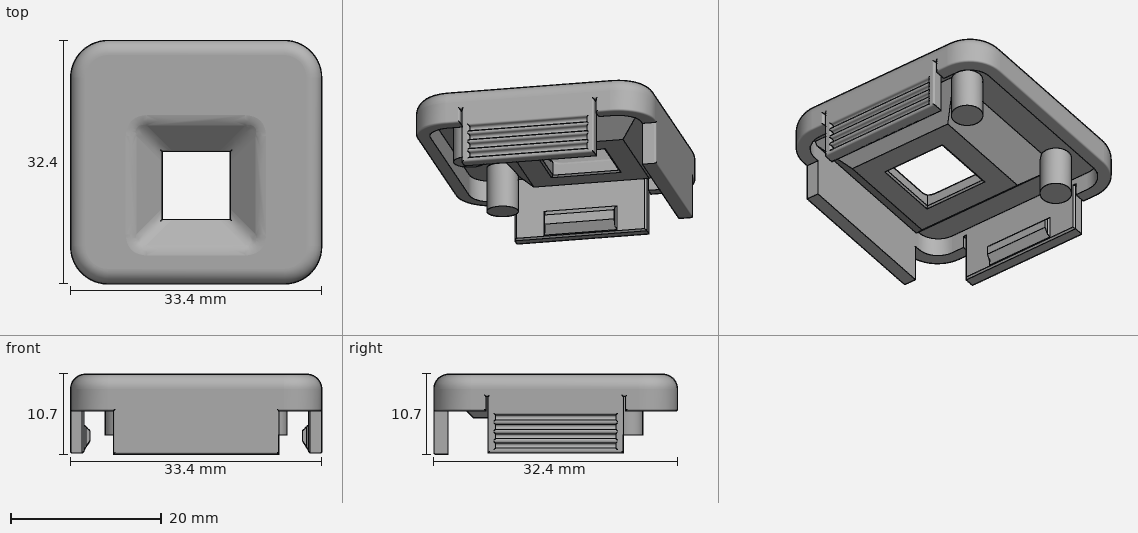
import cadquery as cq
import math

LENGTH_X = 33.4
WIDTH_Y = 32.4
CAP_DEPTH = 4.9
CORNER_RADIUS = 5.0
TOP_FILLET = 2.0
TOP_THICKNESS = 2.0
WALL = 1.8
EDGE_FILLET = 0.25
INNER_CHAMFER = 0.25

FRONT_FLAP_WIDTH = 22.0
FRONT_FLAP_THICKNESS = 1.9
FRONT_FLAP_BOTTOM = -10.65
SIDE_FLAP_WIDTH = 18.0
SIDE_FLAP_BOTTOM = -10.5
SLOT_WIDTH = 0.25
SLOT_TOP = -3.0

HOOK_LENGTH = 10.0
HOOK_REACH = 0.8
HOOK_TOP = -6.75
HOOK_NOSE_BOTTOM = -8.85
HOOK_BOTTOM = -10.1
HOOK_END_BEVEL = 0.25

GROOVE_COUNT = 4
GROOVE_PITCH = 1.25
GROOVE_LENGTH = 16.0
GROOVE_WIDTH = 0.65
GROOVE_RIM_FILLET = 0.25
GROOVE_WALL_DEPTH = 0.3
FIRST_GROOVE_Z = -5.75

FUNNEL_Y = -3.1
FUNNEL_TOP_WIDTH = 17.0
FUNNEL_FILLET = 2.0
FUNNEL_BOTTOM = -5.8
FUNNEL_BLOCK_WIDTH = 15.7
APERTURE_WIDTH = 9.0
APERTURE_FILLET = 0.4
APERTURE_CHAMFER = 0.25

POST_X = 10.0
POST_Y = 9.5
POST_RADIUS = 2.1
POST_BOTTOM = -8.1

SELECTION_MARGIN = 0.1
POSITION_TOLERANCE = 1e-4

HALF_X = LENGTH_X / 2
HALF_Y = WIDTH_Y / 2
FLAP_INNER_X = HALF_X - WALL


def box_between(x_range, y_range, z_range):
    """Axis-aligned box given by its limits on each axis."""
    sizes = [high - low for low, high in (x_range, y_range, z_range)]
    corner = (x_range[0], y_range[0], z_range[0])
    return cq.Workplane("XY").box(*sizes, centered=False).translate(corner)


def square_frustum(bottom_width, bottom_z, top_width, top_z):
    """Square frustum centred on the funnel axis."""
    return (
        cq.Workplane("XY", origin=(0, FUNNEL_Y, bottom_z))
        .rect(bottom_width, bottom_width)
        .workplane(offset=top_z - bottom_z)
        .rect(top_width, top_width)
        .loft(ruled=True)
    )


def both_sides(body):
    """A body on one side together with its mirror image."""
    return body.union(body.mirror("YZ"))


def side_slots():
    """Narrow slots through the left wall that free the flap on either side."""
    slots = cq.Workplane("XY")
    inner = SIDE_FLAP_WIDTH / 2
    outer = inner + SLOT_WIDTH
    for y_range in ((inner, outer), (-outer, -inner)):
        slots = slots.union(box_between((-HALF_X, -FLAP_INNER_X), y_range, (-CAP_DEPTH, SLOT_TOP)))
    return slots


def shell():
    """Open-bottomed cap with its three flaps, rounded along the free edges."""
    cap = (
        cq.Workplane("XY")
        .rect(LENGTH_X, WIDTH_Y)
        .extrude(-CAP_DEPTH)
        .edges("|Z")
        .fillet(CORNER_RADIUS)
    )
    cavity_y = (-HALF_Y + FRONT_FLAP_THICKNESS, HALF_Y - WALL)
    cavity = (
        box_between((-FLAP_INNER_X, FLAP_INNER_X), cavity_y, (-CAP_DEPTH, -TOP_THICKNESS))
        .edges("|Z")
        .fillet(CORNER_RADIUS - WALL)
    )
    front_flap = box_between(
        (-FRONT_FLAP_WIDTH / 2, FRONT_FLAP_WIDTH / 2),
        (-HALF_Y, -HALF_Y + FRONT_FLAP_THICKNESS),
        (FRONT_FLAP_BOTTOM, -TOP_THICKNESS),
    )
    side_flap = box_between(
        (-HALF_X, -FLAP_INNER_X),
        (-SIDE_FLAP_WIDTH / 2, SIDE_FLAP_WIDTH / 2),
        (SIDE_FLAP_BOTTOM, -TOP_THICKNESS),
    )
    body = cap.cut(cavity).union(front_flap).union(both_sides(side_flap)).cut(both_sides(side_slots()))

    free_edges = body.faces("<X or >X or <Y or >Y").edges().filter(
        lambda edge: edge.Center().z < -CAP_DEPTH / 2 - EDGE_FILLET
    )
    body = free_edges.fillet(EDGE_FILLET)

    inner_flap_edges = body.edges("|Z or |Y").filter(
        lambda edge: math.isclose(abs(edge.Center().x), FLAP_INNER_X, abs_tol=POSITION_TOLERANCE)
        and edge.Center().z < -CAP_DEPTH
    )
    body = inner_flap_edges.chamfer(INNER_CHAMFER)
    return body.faces(">Z").edges().fillet(TOP_FILLET)


def snap_hook():
    """Left-hand hook with a 45 degree upper side and bevelled ends."""
    nose_x = -FLAP_INNER_X + HOOK_REACH
    root_x = -FLAP_INNER_X - WALL / 2
    profile = [
        (root_x, HOOK_TOP),
        (-FLAP_INNER_X, HOOK_TOP),
        (nose_x, HOOK_TOP - HOOK_REACH),
        (nose_x, HOOK_NOSE_BOTTOM),
        (-FLAP_INNER_X, HOOK_BOTTOM),
        (root_x, HOOK_BOTTOM),
    ]
    hook = cq.Workplane("XZ").polyline(profile).close().extrude(HOOK_LENGTH / 2, both=True)

    bevel_x = -FLAP_INNER_X + HOOK_END_BEVEL
    end = HOOK_LENGTH / 2
    plan = [
        (root_x, -end),
        (-FLAP_INNER_X, -end),
        (bevel_x, -end + HOOK_END_BEVEL),
        (nose_x, -end + HOOK_END_BEVEL),
        (nose_x, end - HOOK_END_BEVEL),
        (bevel_x, end - HOOK_END_BEVEL),
        (-FLAP_INNER_X, end),
        (root_x, end),
    ]
    envelope = cq.Workplane("XY").polyline(plan).close().extrude(SIDE_FLAP_BOTTOM)
    return hook.intersect(envelope)


def cut_grip_grooves(body):
    """Cut round-bottomed grooves with rounded rims across both side flaps."""
    radius = GROOVE_WIDTH / 2
    floor_x = -HALF_X + GROOVE_WALL_DEPTH
    for index in range(GROOVE_COUNT):
        middle_z = FIRST_GROOVE_Z - index * GROOVE_PITCH
        groove = (
            cq.Workplane("XZ")
            .moveTo(-HALF_X, middle_z + radius)
            .lineTo(floor_x, middle_z + radius)
            .threePointArc((floor_x + radius, middle_z), (floor_x, middle_z - radius))
            .lineTo(-HALF_X, middle_z - radius)
            .close()
            .extrude(GROOVE_LENGTH / 2, both=True)
        )
        body = body.cut(both_sides(groove))

    rims = [
        edge
        for face in body.faces("<X or >X").vals()
        for wire in face.innerWires()
        for edge in wire.Edges()
    ]
    return body.newObject(rims).fillet(GROOVE_RIM_FILLET)


def funnel_edges(body, width, low_z, high_z):
    """Edges whose middle lies between two heights and within a square around the funnel axis."""
    reach = width / 2 + SELECTION_MARGIN
    box = cq.selectors.BoxSelector(
        (-reach, FUNNEL_Y - reach, low_z),
        (reach, FUNNEL_Y + reach, high_z),
    )
    return body.edges(box)


def add_funnel(body):
    """Sink the rounded funnel and its square aperture through a tapered block."""
    block_top = -TOP_THICKNESS / 2
    block_top_width = FUNNEL_BLOCK_WIDTH + 2 * (block_top - FUNNEL_BOTTOM)
    body = body.union(square_frustum(FUNNEL_BLOCK_WIDTH, FUNNEL_BOTTOM, block_top_width, block_top))

    slope_end_width = APERTURE_WIDTH - FUNNEL_FILLET
    slope_end = -(FUNNEL_TOP_WIDTH - slope_end_width) / 2
    slopes = (
        square_frustum(slope_end_width, slope_end, FUNNEL_TOP_WIDTH, 0)
        .edges("not #Z")
        .fillet(FUNNEL_FILLET)
    )
    body = body.cut(slopes)
    body = funnel_edges(body, FUNNEL_TOP_WIDTH, -SELECTION_MARGIN, SELECTION_MARGIN).fillet(FUNNEL_FILLET)

    half_aperture = APERTURE_WIDTH / 2
    aperture_x = (-half_aperture, half_aperture)
    aperture_y = (FUNNEL_Y - half_aperture, FUNNEL_Y + half_aperture)
    body = body.cut(box_between(aperture_x, aperture_y, (FUNNEL_BOTTOM, -TOP_THICKNESS)))

    upper_edges = funnel_edges(body, APERTURE_WIDTH, FUNNEL_BOTTOM + SELECTION_MARGIN, -TOP_THICKNESS)
    body = upper_edges.edges("not |Z").fillet(APERTURE_FILLET)
    lower_edges = funnel_edges(
        body, APERTURE_WIDTH, FUNNEL_BOTTOM - SELECTION_MARGIN, FUNNEL_BOTTOM + SELECTION_MARGIN
    )
    return lower_edges.chamfer(APERTURE_CHAMFER)


def post():
    """Right-hand round post reaching down from the top."""
    return (
        cq.Workplane("XY", origin=(POST_X, POST_Y, POST_BOTTOM))
        .circle(POST_RADIUS)
        .extrude(-TOP_THICKNESS / 2 - POST_BOTTOM)
    )


result = add_funnel(shell())
result = result.union(both_sides(post())).union(both_sides(snap_hook()))
result = cut_grip_grooves(result).solids()